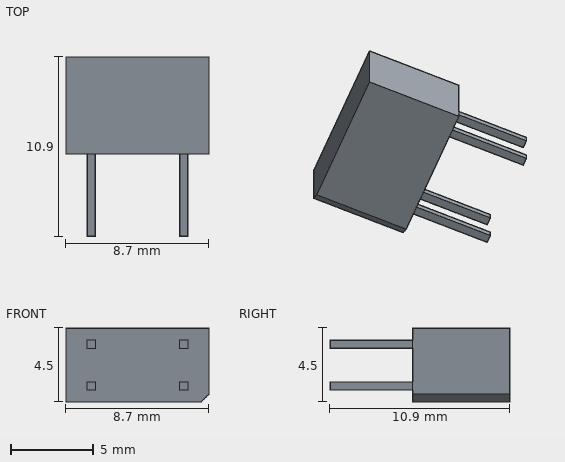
import cadquery as cq

body_width = 8.7
body_height = 4.5
overall_length = 10.9
pin_length = 5.0
body_length = overall_length - pin_length
corner_chamfer = 0.5

pin_side = 0.5
pin_spacing_x = 5.6
pin_spacing_z = 2.54


def make_body():
    """Block behind the XZ plane with its lower +X edge chamfered."""
    block = cq.Workplane("XY").box(body_width, body_length, body_height, centered=(True, False, True))
    return block.edges("|Y and >X and <Z").chamfer(corner_chamfer)


def make_pins():
    """Four square pins projecting toward -Y from the front face."""
    return (
        cq.Workplane("XZ")
        .rarray(pin_spacing_x, pin_spacing_z, 2, 2)
        .rect(pin_side, pin_side)
        .extrude(pin_length)
    )


result = make_body().union(make_pins())